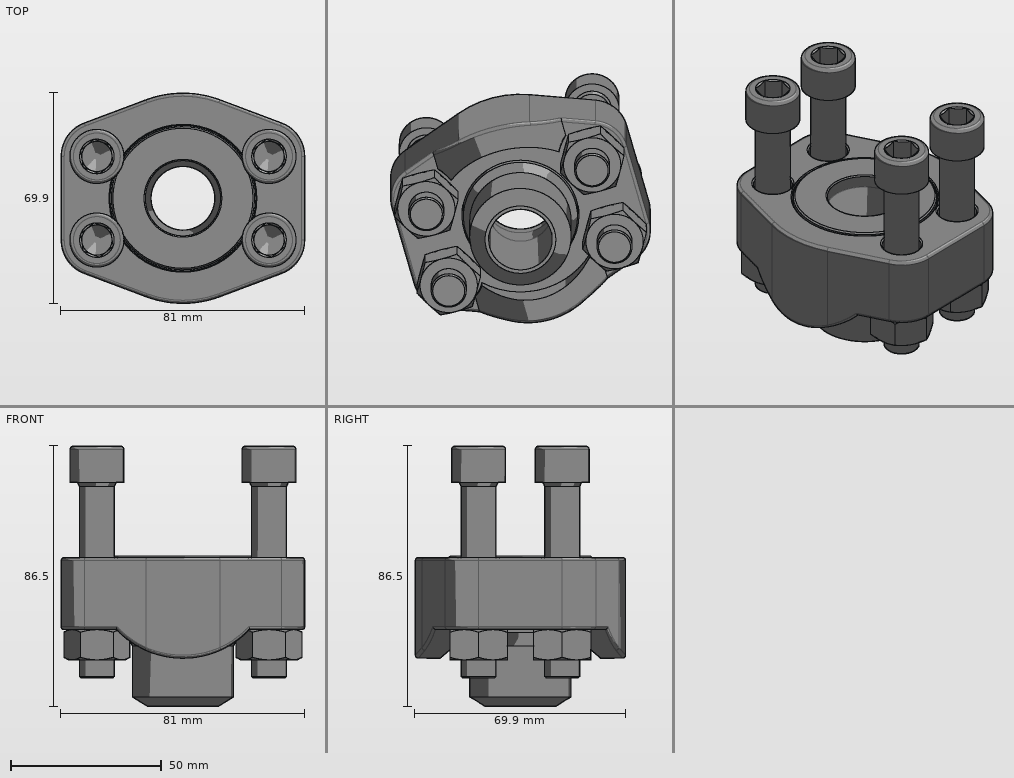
import cadquery as cq
import math


bolt_spacing_x = 57.2
bolt_spacing_y = 27.8
bolt_x = bolt_spacing_x / 2
bolt_y = bolt_spacing_y / 2

flange_half_length = 40.5
flange_half_width = 34.95
flange_bottom = 25.5
flange_top = 49.5
flange_edge_radius = 1.0
arch_radius = 30.3
arch_bottom = 16.0
weld_pocket_diameter = 53.3
nut_clearance_diameter = 22.5
bolt_hole_diameter = 13.0
bolt_hole_chamfer = 0.5
flange_bore_diameter = 38.8
flange_recess_diameter = 48.4
flange_recess_chamfer = 0.35

insert_top = 50.0
insert_head_diameter = 47.6
insert_head_height = 8.0
insert_head_edge = 0.5
insert_body_diameter = 37.9
insert_tube_diameter = 33.7
insert_cone_top = 24.65
insert_cone_bottom = 20.15
weld_bevel_height = 3.2
weld_face_diameter = 23.5
mouth_diameter = 25.0
mouth_depth = 4.5
mouth_chamfer = 0.4
bore_diameter = 21.1
bore_taper_length = 15.0

screw_bottom = 9.5
screw_top = 86.5
shank_diameter = 11.7
shank_tip_chamfer = 0.5
head_diameter = 18.0
head_height = 12.0
head_edge_radius = 1.2
neck_diameter = 13.0
neck_height = 1.4
socket_flats = 10.0
socket_depth = 7.8
socket_sink_diameter = 11.5
socket_drill_angle = 60.0
socket_sink_angle = 60.0
socket_turn = -21.0

nut_flats = 19.0
nut_height = 10.0
nut_chamfer_angle = 30.0

BOLT_POSITIONS = [(sx * bolt_x, sy * bolt_y) for sx in (-1, 1) for sy in (-1, 1)]


def cylinder(diameter, bottom, top):
    """Upright cylinder on the Z axis between two heights."""
    return cq.Workplane("XY").workplane(offset=bottom).circle(diameter / 2).extrude(top - bottom)


def revolve_profile(points):
    """Solid turned about the Z axis from (radius, height) points."""
    return cq.Workplane("XZ").polyline(points).close().revolve(360, (0, 0, 0), (0, 1, 0))


def cone_down(diameter, top, half_angle):
    """Cone on the Z axis with its point down; the half angle is measured from the axis."""
    depth = diameter / 2 / math.tan(math.radians(half_angle))
    return revolve_profile([(0, top), (diameter / 2, top), (0, top - depth)])


def hexagon(flats, bottom, top):
    """Upright hexagonal prism with two corners on the X axis."""
    corners = flats / math.cos(math.pi / 6)
    return cq.Workplane("XY").workplane(offset=bottom).polygon(6, corners).extrude(top - bottom)


def flange_blank():
    """Prism whose outline wraps the central circle and the four corner circles with tangent lines."""
    corner_radius = flange_half_length - bolt_x
    bolt_distance = math.hypot(bolt_x, bolt_y)
    normal = math.atan2(bolt_y, bolt_x) + math.acos((flange_half_width - corner_radius) / bolt_distance)
    nx = math.cos(normal)
    ny = math.sin(normal)
    middle_corner = normal / 2
    tangent_x = flange_half_width * nx
    tangent_y = flange_half_width * ny
    corner_x = bolt_x + corner_radius * nx
    corner_y = bolt_y + corner_radius * ny
    mid_x = bolt_x + corner_radius * math.cos(middle_corner)
    mid_y = bolt_y + corner_radius * math.sin(middle_corner)
    return (
        cq.Workplane("XY")
        .workplane(offset=arch_bottom)
        .moveTo(flange_half_length, -bolt_y)
        .lineTo(flange_half_length, bolt_y)
        .threePointArc((mid_x, mid_y), (corner_x, corner_y))
        .lineTo(tangent_x, tangent_y)
        .threePointArc((0, flange_half_width), (-tangent_x, tangent_y))
        .lineTo(-corner_x, corner_y)
        .threePointArc((-mid_x, mid_y), (-flange_half_length, bolt_y))
        .lineTo(-flange_half_length, -bolt_y)
        .threePointArc((-mid_x, -mid_y), (-corner_x, -corner_y))
        .lineTo(-tangent_x, -tangent_y)
        .threePointArc((0, -flange_half_width), (tangent_x, -tangent_y))
        .lineTo(corner_x, -corner_y)
        .threePointArc((mid_x, -mid_y), (flange_half_length, -bolt_y))
        .close()
        .extrude(flange_top - arch_bottom)
    )


def flange_side_shape():
    """Slab with an arched belly hanging below it, run along Y."""
    center_height = arch_bottom + arch_radius
    half_chord = math.sqrt(arch_radius**2 - (center_height - flange_bottom) ** 2)
    return (
        cq.Workplane("XZ", origin=(0, flange_half_length, 0))
        .moveTo(-flange_half_length, flange_top)
        .lineTo(-flange_half_length, flange_bottom)
        .lineTo(-half_chord, flange_bottom)
        .threePointArc((0, arch_bottom), (half_chord, flange_bottom))
        .lineTo(flange_half_length, flange_bottom)
        .lineTo(flange_half_length, flange_top)
        .close()
        .extrude(2 * flange_half_length)
    )


def round_flange_edges(body):
    """Round the top and bottom rims, but not the upright edges or the lines where the arch meets the slab."""
    rims = cq.selectors.StringSyntaxSelector("not |Z")
    arch_feet = cq.selectors.BoxSelector(
        (-arch_radius, -weld_pocket_diameter / 2, arch_bottom),
        (arch_radius, weld_pocket_diameter / 2, flange_top),
    )
    return body.edges(rims - arch_feet).fillet(flange_edge_radius)


def make_flange():
    """Arched clamp flange with a stepped bore, four bolt holes and clearance for the weld and the nuts."""
    flange = round_flange_edges(flange_blank().intersect(flange_side_shape()))

    recess_r = flange_recess_diameter / 2
    recess_bottom = insert_top - insert_head_height
    flange = flange.cut(
        revolve_profile(
            [
                (0, flange_bottom),
                (flange_bore_diameter / 2, flange_bottom),
                (flange_bore_diameter / 2, recess_bottom),
                (recess_r, recess_bottom),
                (recess_r, flange_top - flange_recess_chamfer),
                (recess_r + flange_recess_chamfer, flange_top),
                (0, flange_top),
            ]
        )
    )

    flange = flange.cut(cylinder(weld_pocket_diameter, arch_bottom, flange_bottom))

    for x, y in BOLT_POSITIONS:
        hole_r = bolt_hole_diameter / 2
        hole = revolve_profile(
            [
                (0, flange_bottom),
                (hole_r, flange_bottom),
                (hole_r, flange_top - bolt_hole_chamfer),
                (hole_r + bolt_hole_chamfer, flange_top),
                (0, flange_top),
            ]
        )
        nut_clearance = cylinder(nut_clearance_diameter, arch_bottom, flange_bottom)
        flange = flange.cut(hole.union(nut_clearance).translate((x, y, 0)))
    return flange


def make_insert():
    """Flanged weld tube with a tapering bore."""
    head_r = insert_head_diameter / 2
    body_r = insert_body_diameter / 2
    tube_r = insert_tube_diameter / 2
    mouth_r = mouth_diameter / 2
    bore_r = bore_diameter / 2
    taper_top = insert_top - mouth_depth
    return revolve_profile(
        [
            (mouth_r + mouth_chamfer, insert_top),
            (head_r - insert_head_edge, insert_top),
            (head_r, insert_top - insert_head_edge),
            (head_r, insert_top - insert_head_height),
            (body_r, insert_top - insert_head_height),
            (body_r, insert_cone_top),
            (tube_r, insert_cone_bottom),
            (tube_r, weld_bevel_height),
            (weld_face_diameter / 2, 0),
            (bore_r, 0),
            (bore_r, taper_top - bore_taper_length),
            (mouth_r, taper_top),
            (mouth_r, insert_top - mouth_chamfer),
        ]
    )


def make_screw():
    """Socket head cap screw on the Z axis."""
    head_bottom = screw_top - head_height
    head = cylinder(head_diameter, head_bottom, screw_top).faces(">Z").edges().fillet(head_edge_radius)
    shank = cylinder(shank_diameter, screw_bottom, head_bottom).faces("<Z").chamfer(shank_tip_chamfer)
    neck = revolve_profile(
        [
            (0, head_bottom),
            (neck_diameter / 2, head_bottom),
            (shank_diameter / 2, head_bottom - neck_height),
            (0, head_bottom - neck_height),
        ]
    )
    screw = head.union(shank).union(neck)

    socket_floor = screw_top - socket_depth
    socket = hexagon(socket_flats, socket_floor, screw_top).rotate((0, 0, 0), (0, 0, 1), socket_turn)
    drill_point = cone_down(socket_flats, socket_floor, socket_drill_angle)
    countersink = cone_down(socket_sink_diameter, screw_top, socket_sink_angle)
    return screw.cut(socket).cut(drill_point).cut(countersink)


def make_nut():
    """Hexagon nut on the Z axis with both ends chamfered at the corners."""
    nut_bottom = flange_bottom - nut_height
    face_r = nut_flats / 2
    corner_r = face_r / math.cos(math.pi / 6)
    drop = (corner_r - face_r) * math.tan(math.radians(nut_chamfer_angle))
    turned = revolve_profile(
        [
            (0, nut_bottom),
            (face_r, nut_bottom),
            (corner_r, nut_bottom + drop),
            (corner_r, flange_bottom - drop),
            (face_r, flange_bottom),
            (0, flange_bottom),
        ]
    )
    nut = hexagon(nut_flats, nut_bottom, flange_bottom).intersect(turned)
    return nut.cut(cylinder(shank_diameter, nut_bottom, flange_bottom))


flange = make_flange()
insert = make_insert()
screws = [make_screw().translate((x, y, 0)) for x, y in BOLT_POSITIONS]
nuts = [make_nut().translate((x, y, 0)) for x, y in BOLT_POSITIONS]

result = cq.Compound.makeCompound(
    [flange.val(), insert.val(), *[screw.val() for screw in screws], *[nut.val() for nut in nuts]]
)